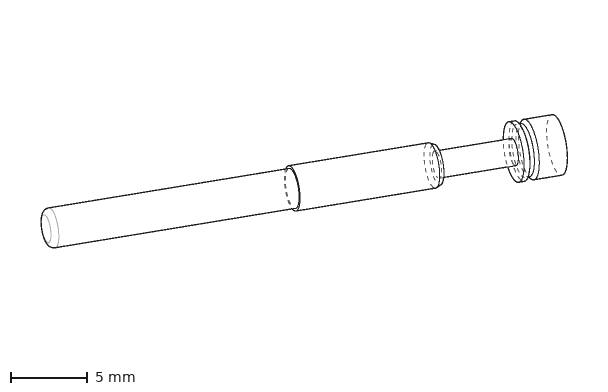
import cadquery as cq

overall_length = 35.3

head_radius = 2.0
head_length = 3.0
groove_start = 1.95
groove_end = 2.6
groove_radius = 1.75
groove_head_taper = head_radius - groove_radius
groove_flange_taper = 0.1

plunger_radius = 0.9
plunger_length = 5.3

collar_radius = 1.5
collar_length = 10.0
collar_bevel_length = 0.35
collar_bevel_depth = 0.15

barrel_radius = 1.32
tip_round_radius = 0.4

collar_start = head_length + plunger_length
collar_end = collar_start + collar_length

head_face_y = overall_length / 2


def at(radius, station):
    """Profile point at a radius from the axis and a station along it."""
    return (radius, head_face_y - station)


def spin(profile):
    """Close a half profile and revolve it around the Y axis."""
    return profile.close().revolve(360, (0, 0, 0), (0, 1, 0))


def make_head():
    """Cylindrical head with a tapered groove around it."""
    return spin(
        cq.Workplane("XY")
        .moveTo(*at(0, 0))
        .lineTo(*at(head_radius, 0))
        .lineTo(*at(head_radius, groove_start))
        .lineTo(*at(groove_radius, groove_start + groove_head_taper))
        .lineTo(*at(groove_radius, groove_end - groove_flange_taper))
        .lineTo(*at(head_radius, groove_end))
        .lineTo(*at(head_radius, head_length))
        .lineTo(*at(0, head_length))
    )


def make_plunger():
    """Plain rod joining the head to the barrel."""
    return spin(
        cq.Workplane("XY")
        .moveTo(*at(0, head_length))
        .lineTo(*at(plunger_radius, head_length))
        .lineTo(*at(plunger_radius, collar_start))
        .lineTo(*at(0, collar_start))
    )


def make_barrel():
    """Bevelled collar followed by the slimmer barrel with its rounded tip."""
    tip_round_start = overall_length - tip_round_radius
    tip_face_radius = barrel_radius - tip_round_radius
    return spin(
        cq.Workplane("XY")
        .moveTo(*at(0, collar_start))
        .lineTo(*at(collar_radius - collar_bevel_depth, collar_start))
        .lineTo(*at(collar_radius, collar_start + collar_bevel_length))
        .lineTo(*at(collar_radius, collar_end))
        .lineTo(*at(barrel_radius, collar_end))
        .lineTo(*at(barrel_radius, tip_round_start))
        .radiusArc(at(tip_face_radius, overall_length), tip_round_radius)
        .lineTo(*at(0, overall_length))
    )


result = make_head().union(make_plunger()).union(make_barrel())